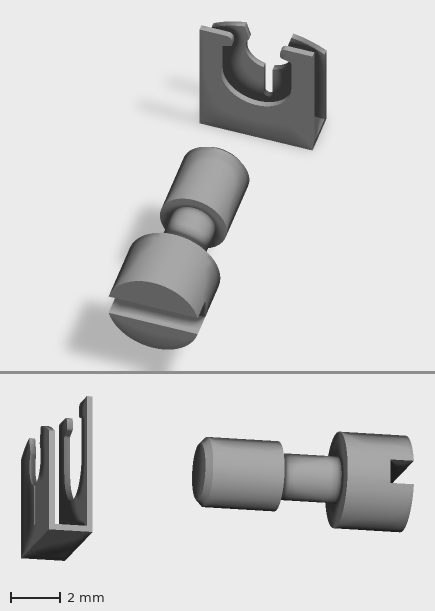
import cadquery as cq
import math

TOTAL_LENGTH = 15.39
AXIS_Z = 3.45

HEAD_RADIUS = 1.97
HEAD_LENGTH = 2.79
NECK_RADIUS = 0.95
NECK_LENGTH = 2.51
SHANK_RADIUS = 1.43
SHANK_LENGTH = 3.25
TIP_CHAMFER = 0.26
DRIVE_WIDTH = 0.98
DRIVE_DEPTH = 0.98

CLIP_WIDTH = 4.83
CLIP_DEPTH = 1.83
FRONT_HEIGHT = 5.7
BACK_HEIGHT = 4.7
BACK_SIDE_HEIGHT = 4.15
SHEET = 0.25

SEAT_RADIUS = 1.51
LIP_HALF_GAP = 1.03
LIP_TOP_ROUND = 0.25
LIP_BOTTOM_Z = 5.15
SEAT_SHOULDER_Z = 4.99
LIP_BOTTOM_ROUND = 0.1

SNAP_RADIUS = 0.97
THROAT_HALF_GAP = 0.8
MOUTH_HALF_GAP = 1.0
THROAT_ROUND = 0.15
SLIT_RADIUS = 0.2
SLIT_CENTER_Z = 1.0
SHOULDER_BULGE = 0.08

CLIP_FRONT_Y = TOTAL_LENGTH - CLIP_DEPTH
BACK_INNER_Y = TOTAL_LENGTH - SHEET


def cylinder(radius, start_y, length):
    """Cylinder on the screw axis, growing toward +Y."""
    start = cq.Workplane("XZ", origin=(0, start_y, AXIS_Z))
    return start.circle(radius).extrude(-length)


def make_screw():
    neck_start = HEAD_LENGTH
    shank_start = neck_start + NECK_LENGTH
    head = cylinder(HEAD_RADIUS, 0, HEAD_LENGTH)
    neck = cylinder(NECK_RADIUS, neck_start, NECK_LENGTH)
    shank = cylinder(SHANK_RADIUS, shank_start, SHANK_LENGTH).faces(">Y").chamfer(TIP_CHAMFER)
    drive_slot = cq.Workplane().box(
        2 * HEAD_RADIUS, DRIVE_DEPTH, DRIVE_WIDTH, centered=(True, False, True)
    ).translate((0, 0, AXIS_Z))
    return head.union(neck).union(shank).cut(drive_slot).solids()


def make_leg_blank(start_y, height):
    return cq.Workplane().box(CLIP_WIDTH, SHEET, height, centered=(True, False, False)).translate(
        (0, start_y, 0)
    )


def make_front_opening():
    """Round-bottomed seat narrowed at the top by two rounded lips."""
    round_start_z = FRONT_HEIGHT - LIP_TOP_ROUND
    top_half_gap = LIP_HALF_GAP + LIP_TOP_ROUND
    round_mid_inset = LIP_TOP_ROUND * (1 - math.sqrt(0.5))
    round_mid_x = LIP_HALF_GAP + round_mid_inset
    round_mid_z = FRONT_HEIGHT - round_mid_inset
    opening = (
        cq.Workplane("XZ", origin=(0, CLIP_FRONT_Y, 0))
        .moveTo(-SEAT_RADIUS, AXIS_Z)
        .threePointArc((0, AXIS_Z - SEAT_RADIUS), (SEAT_RADIUS, AXIS_Z))
        .lineTo(SEAT_RADIUS, SEAT_SHOULDER_Z)
        .lineTo(LIP_HALF_GAP, LIP_BOTTOM_Z)
        .lineTo(LIP_HALF_GAP, round_start_z)
        .threePointArc((round_mid_x, round_mid_z), (top_half_gap, FRONT_HEIGHT))
        .lineTo(-top_half_gap, FRONT_HEIGHT)
        .threePointArc((-round_mid_x, round_mid_z), (-LIP_HALF_GAP, round_start_z))
        .lineTo(-LIP_HALF_GAP, LIP_BOTTOM_Z)
        .lineTo(-SEAT_RADIUS, SEAT_SHOULDER_Z)
        .close()
        .extrude(-SHEET)
    )
    edge_zone = cq.selectors.BoxSelector(
        (-CLIP_WIDTH, CLIP_FRONT_Y, SEAT_SHOULDER_Z - SHEET),
        (CLIP_WIDTH, CLIP_FRONT_Y + SHEET, LIP_BOTTOM_Z + LIP_BOTTOM_ROUND),
    )
    return opening.edges("|Y").edges(edge_zone).fillet(LIP_BOTTOM_ROUND).solids()


def make_back_leg():
    """Leg with sloping shoulders, a snap seat for the neck and a relief slit."""
    half_width = CLIP_WIDTH / 2
    shoulder_mid_x = (half_width + MOUTH_HALF_GAP) / 2
    shoulder_mid_z = (BACK_SIDE_HEIGHT + BACK_HEIGHT) / 2 + SHOULDER_BULGE
    throat_z = AXIS_Z + math.sqrt(SNAP_RADIUS**2 - THROAT_HALF_GAP**2)
    slit_top_z = AXIS_Z - math.sqrt(SNAP_RADIUS**2 - SLIT_RADIUS**2)
    leg = (
        cq.Workplane("XZ", origin=(0, BACK_INNER_Y, 0))
        .moveTo(-half_width, 0)
        .lineTo(half_width, 0)
        .lineTo(half_width, BACK_SIDE_HEIGHT)
        .threePointArc((shoulder_mid_x, shoulder_mid_z), (MOUTH_HALF_GAP, BACK_HEIGHT))
        .lineTo(THROAT_HALF_GAP, throat_z)
        .threePointArc((SNAP_RADIUS, AXIS_Z), (SLIT_RADIUS, slit_top_z))
        .lineTo(SLIT_RADIUS, SLIT_CENTER_Z)
        .threePointArc((0, SLIT_CENTER_Z - SLIT_RADIUS), (-SLIT_RADIUS, SLIT_CENTER_Z))
        .lineTo(-SLIT_RADIUS, slit_top_z)
        .threePointArc((-SNAP_RADIUS, AXIS_Z), (-THROAT_HALF_GAP, throat_z))
        .lineTo(-MOUTH_HALF_GAP, BACK_HEIGHT)
        .threePointArc((-shoulder_mid_x, shoulder_mid_z), (-half_width, BACK_SIDE_HEIGHT))
        .close()
        .extrude(-SHEET)
    )
    throat_zone = cq.selectors.BoxSelector(
        (-SNAP_RADIUS, BACK_INNER_Y, throat_z - SHEET),
        (SNAP_RADIUS, TOTAL_LENGTH, throat_z + SHEET),
    )
    return leg.edges("|Y").edges(throat_zone).fillet(THROAT_ROUND).solids()


def make_clip():
    front_leg = make_leg_blank(CLIP_FRONT_Y, FRONT_HEIGHT).cut(make_front_opening()).solids()
    floor = cq.Workplane().box(
        CLIP_WIDTH, CLIP_DEPTH, SHEET, centered=(True, False, False)
    ).translate((0, CLIP_FRONT_Y, 0))
    return floor.union(front_leg).union(make_back_leg()).solids()


screw = make_screw()
clip = make_clip()

result = cq.Compound.makeCompound([screw.val(), clip.val()])